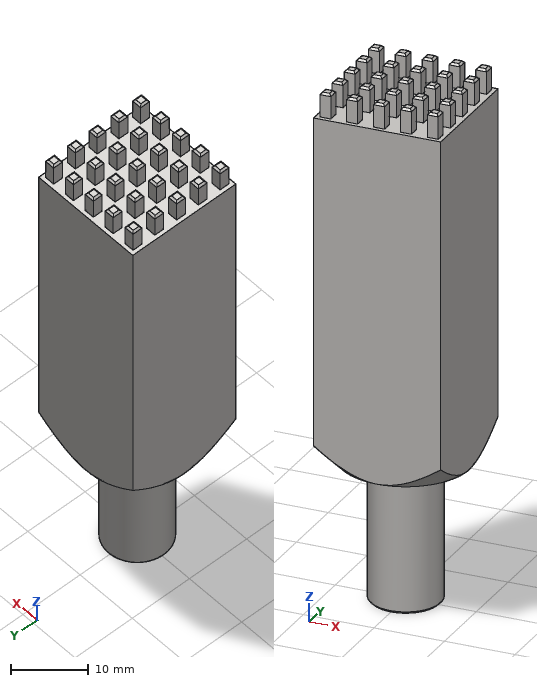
import cadquery as cq

total_length = 73.9
body_width = 18.0
shank_length = 20.0
shank_diameter = 10.0
shank_chamfer = 0.4

pin_count = 5
pin_width = 1.55
pin_edge_margin = 0.63
pin_pitch = (body_width - pin_width - 2 * pin_edge_margin) / (pin_count - 1)
pin_height = 3.5
pin_chamfer = 0.3

body_length = total_length - shank_length - pin_height
body_bottom = shank_length
body_top = body_bottom + body_length


def make_shank():
    """Round shank standing on Z = 0, chamfered at its free end."""
    shank = cq.Workplane("XY").circle(shank_diameter / 2).extrude(shank_length)
    return shank.faces("<Z").edges().chamfer(shank_chamfer)


def make_body():
    """Square bar whose lower corners are turned off by a 45 degree cone."""
    bar = cq.Workplane("XY", origin=(0, 0, body_bottom)).rect(body_width, body_width).extrude(body_length)
    inscribed_radius = body_width / 2
    outer_radius = body_width
    cone_top = body_bottom + outer_radius - inscribed_radius
    turning_envelope = (
        cq.Workplane("XZ")
        .moveTo(0, body_bottom)
        .lineTo(inscribed_radius, body_bottom)
        .lineTo(outer_radius, cone_top)
        .lineTo(outer_radius, body_top)
        .lineTo(0, body_top)
        .close()
        .revolve(360, (0, 0, 0), (0, 1, 0))
    )
    return bar.intersect(turning_envelope)


def make_pins():
    """Square grid of pins with chamfered tips."""
    pin = (
        cq.Workplane("XY")
        .rect(pin_width, pin_width)
        .extrude(pin_height)
        .faces(">Z")
        .edges()
        .chamfer(pin_chamfer)
    )
    return (
        cq.Workplane("XY", origin=(0, 0, body_top))
        .rarray(pin_pitch, pin_pitch, pin_count, pin_count)
        .eachpoint(pin.val(), combine=False)
    )


result = make_body().union(make_shank()).union(make_pins())